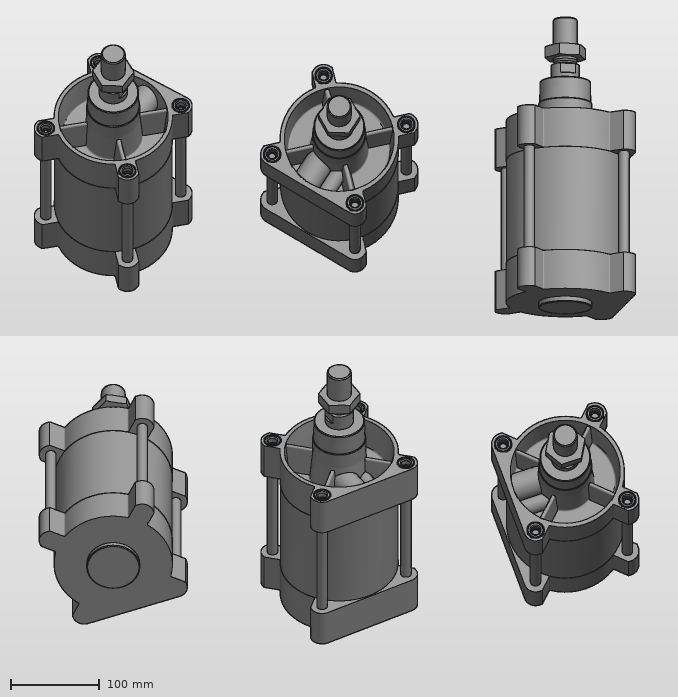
import cadquery as cq
import math

total_length = 335.0
square_side = 136.0

cap_height = 45.2
rear_cap_bottom = 6.0
rear_cap_top = rear_cap_bottom + cap_height
front_cap_top = 216.5
front_cap_bottom = front_cap_top - cap_height
collar_shoulder = 237.5
collar_top = 262.3
rod_shoulder = 281.0

barrel_diameter = 133.0
cap_diameter = 133.5
tie_spacing = 110.0
tie_rod_diameter = 12.0
lug_width = 23.5
lug_root_radius = 1.7

spigot_diameter = 60.0
spigot_chamfer = 1.0
collar_base_diameter = 58.3
collar_end_diameter = 57.3
collar_chamfer = 1.0

cavity_diameter = 124.0
cavity_depth = 37.0
cavity_floor_radius = 2.0
wall_draft = 7.0
hub_draft = 5.0

rib_drop = 3.0
rib_top_width = 4.5
rib_top_radius = 2.0
rib_draft = 7.0
port_diameter = 32.0
port_x = 8.5
cushion_diameter = 18.8
cushion_x = -15.7
cushion_drop = 5.7

nut_pocket_diameter = 19.8
nut_pocket_depth = 2.7
tie_nut_diameter = 18.8
tie_nut_chamfer = 1.0
tie_socket_diameter = 10.0
tie_socket_rim_diameter = 12.7
tie_socket_depth = 7.5
tie_bore_diameter = 8.0
tie_bore_depth = 10.0

rod_diameter = 32.0
thread_diameter = 27.0
thread_bottom = 286.8
thread_chamfer = 1.5
thread_runout_height = 2.5
undercut_diameter = 24.8
relief_diameter = 24.5
relief_height = 1.5
flat_spacing = 27.0
flat_height = 11.0

lock_nut_width = 41.0
lock_nut_height = 13.0
lock_nut_bottom = 289.5
lock_nut_face_diameter = 42.2
lock_nut_chamfer_height = 0.7

port_z = front_cap_top - cap_height / 2
cushion_z = port_z - cushion_drop
half_side = square_side / 2
tie_offset = tie_spacing / 2
lug_corner_radius = half_side - tie_offset
cavity_floor = front_cap_top - cavity_depth
tie_points = [(x, y) for x in (-tie_offset, tie_offset) for y in (-tie_offset, tie_offset)]


def disc(diameter, bottom, height):
    """Upright cylinder on the main axis."""
    return cq.Workplane("XY").workplane(offset=bottom).circle(diameter / 2).extrude(height)


def on_both_diagonals(bar):
    """Cross of two copies of a bar along X, turned onto the diagonals."""
    start, end = (0, 0, 0), (0, 0, 1)
    return bar.rotate(start, end, 45).union(bar.rotate(start, end, -45))


def turned(points):
    """Solid of revolution about Z from (radius, height) points."""
    return cq.Workplane("XZ").polyline(points).close().revolve(360, (0, 0, 0), (0, 1, 0))


def end_cap(bottom):
    """Round cap with four diagonal lugs and a flat side toward +Y."""
    base = cq.Workplane("XY").workplane(offset=bottom)
    envelope = base.rect(square_side, square_side).extrude(cap_height)
    envelope = envelope.edges("|Z").fillet(lug_corner_radius)
    strip = base.rect(2 * square_side, lug_width).extrude(cap_height)
    lugs = on_both_diagonals(strip)
    cap = disc(cap_diameter, bottom, cap_height).union(lugs.intersect(envelope))

    half_width = lug_width / 2
    along = math.sqrt((cap_diameter / 2) ** 2 - half_width ** 2)
    near = (along - half_width) / math.sqrt(2)
    far = (along + half_width) / math.sqrt(2)
    middle = bottom + cap_height / 2
    for x, y in ((near, far), (far, near)):
        for side_x in (-1, 1):
            for side_y in (-1, 1):
                corner = cq.selectors.NearestToPointSelector((side_x * x, side_y * y, middle))
                cap = cap.edges(corner).fillet(lug_root_radius)

    flat_side = (
        base.center(0, (tie_offset + half_side) / 2)
        .rect(tie_spacing, lug_corner_radius)
        .extrude(cap_height)
    )
    return cap.union(flat_side)


def cavity_ribs():
    """Two crossing drafted ribs with rounded tops, on the diagonals."""
    rib_height = cavity_depth - rib_drop
    foot_half = rib_top_width / 2 + rib_height * math.tan(math.radians(rib_draft))
    top = front_cap_top - rib_drop
    rib = (
        cq.Workplane("YZ")
        .polyline([(-foot_half, cavity_floor), (foot_half, cavity_floor),
                   (rib_top_width / 2, top), (-rib_top_width / 2, top)])
        .close()
        .extrude(square_side / 2, both=True)
        .edges("|X and >Z")
        .fillet(rib_top_radius)
    )
    return on_both_diagonals(rib)


def port_boss(x, z, diameter):
    """Horizontal boss from the hub to the flat side of the cap."""
    return cq.Workplane("XZ").center(x, z).circle(diameter / 2).extrude(-half_side)


def front_cavity():
    """Ring-shaped cavity around the hub, without the ribs and bosses that cross it."""
    hub_top = spigot_diameter / 2
    hub_foot = hub_top + cavity_depth * math.tan(math.radians(hub_draft))
    wall_top = cavity_diameter / 2
    wall_foot = wall_top - cavity_depth * math.tan(math.radians(wall_draft))
    ring = turned([(hub_top, front_cap_top), (hub_foot, cavity_floor),
                   (wall_foot, cavity_floor), (wall_top, front_cap_top)])
    ring = ring.faces("<Z").edges().fillet(cavity_floor_radius)
    ring = ring.cut(cavity_ribs())
    ring = ring.cut(port_boss(port_x, port_z, port_diameter))
    return ring.cut(port_boss(cushion_x, cushion_z, cushion_diameter))


def collar():
    """Stepped collar that guides the rod above the front cap."""
    base = spigot_diameter / 2
    lower = collar_base_diameter / 2
    upper = collar_end_diameter / 2
    return turned([(0, front_cap_top), (base, front_cap_top),
                   (base, collar_shoulder - collar_chamfer), (lower, collar_shoulder),
                   (upper, collar_top - collar_chamfer),
                   (upper - collar_chamfer, collar_top), (0, collar_top)])


def tie_nut_seats():
    """Material to remove around and inside each sunk tie rod nut."""
    top = cq.Workplane("XY").workplane(offset=front_cap_top).pushPoints(tie_points)
    pocket = top.circle(nut_pocket_diameter / 2).extrude(-nut_pocket_depth)
    tie_nut = top.circle(tie_nut_diameter / 2).extrude(-nut_pocket_depth)
    tie_nut = tie_nut.faces(">Z").edges().chamfer(tie_nut_chamfer)
    socket = top.circle(tie_socket_diameter / 2).extrude(-tie_socket_depth)
    rim_depth = (tie_socket_rim_diameter - tie_socket_diameter) / 2
    rim = top.circle(tie_socket_rim_diameter / 2).extrude(-rim_depth, taper=45)
    bore = top.circle(tie_bore_diameter / 2).extrude(-tie_bore_depth)
    return pocket.cut(tie_nut).union(rim).union(socket).union(bore)


def make_housing():
    """Barrel, end caps, tie rods, spigot and collar as one solid."""
    barrel = disc(barrel_diameter, rear_cap_top, front_cap_bottom - rear_cap_top)
    tie_rods = (
        cq.Workplane("XY").workplane(offset=rear_cap_top).pushPoints(tie_points)
        .circle(tie_rod_diameter / 2).extrude(front_cap_bottom - rear_cap_top)
    )
    spigot = disc(spigot_diameter, 0, rear_cap_bottom).faces("<Z").edges().chamfer(spigot_chamfer)
    front_cap = end_cap(front_cap_bottom).cut(front_cavity()).cut(tie_nut_seats())
    housing = end_cap(rear_cap_bottom).union(spigot).union(barrel).union(tie_rods)
    return housing.union(front_cap).union(collar())


def make_piston_rod():
    """Rod with two wrench flats, an undercut and a threaded end, standing on the collar."""
    shank = disc(rod_diameter, collar_top, rod_shoulder - collar_top)
    flats = (
        cq.Workplane("XY").workplane(offset=rod_shoulder)
        .rect(2 * rod_diameter, 2 * rod_diameter).rect(flat_spacing, 2 * rod_diameter)
        .extrude(-flat_height)
    )
    relief = disc(relief_diameter, rod_shoulder, relief_height)
    relief_top = rod_shoulder + relief_height
    undercut = disc(undercut_diameter, relief_top, thread_bottom - relief_top)
    thread = disc(thread_diameter, thread_bottom, total_length - thread_bottom)
    thread = thread.faces(">Z").edges().chamfer(thread_chamfer)
    runout_bottom = thread_bottom - thread_runout_height
    runout = turned([(0, runout_bottom), (undercut_diameter / 2, runout_bottom),
                     (thread_diameter / 2, thread_bottom), (0, thread_bottom)])
    return shank.cut(flats).union(relief).union(undercut).union(runout).union(thread)


def make_lock_nut():
    """Hexagonal nut with corners toward +Y and -Y, chamfered on both faces."""
    corner_diameter = lock_nut_width / math.cos(math.radians(30))
    hexagon = (
        cq.Workplane("XY").workplane(offset=lock_nut_bottom)
        .polygon(6, corner_diameter).extrude(lock_nut_height)
        .rotate((0, 0, 0), (0, 0, 1), 30)
    )
    lock_nut_top = lock_nut_bottom + lock_nut_height
    corner = corner_diameter / 2
    face = lock_nut_face_diameter / 2
    rounding = turned([
        (0, lock_nut_bottom),
        (face, lock_nut_bottom),
        (corner, lock_nut_bottom + lock_nut_chamfer_height),
        (corner, lock_nut_top - lock_nut_chamfer_height),
        (face, lock_nut_top),
        (0, lock_nut_top),
    ])
    bore = disc(thread_diameter, lock_nut_bottom, lock_nut_height)
    return hexagon.intersect(rounding).cut(bore)


housing = make_housing()
piston_rod = make_piston_rod()
lock_nut = make_lock_nut()

result = cq.Compound.makeCompound([housing.val(), piston_rod.val(), lock_nut.val()])